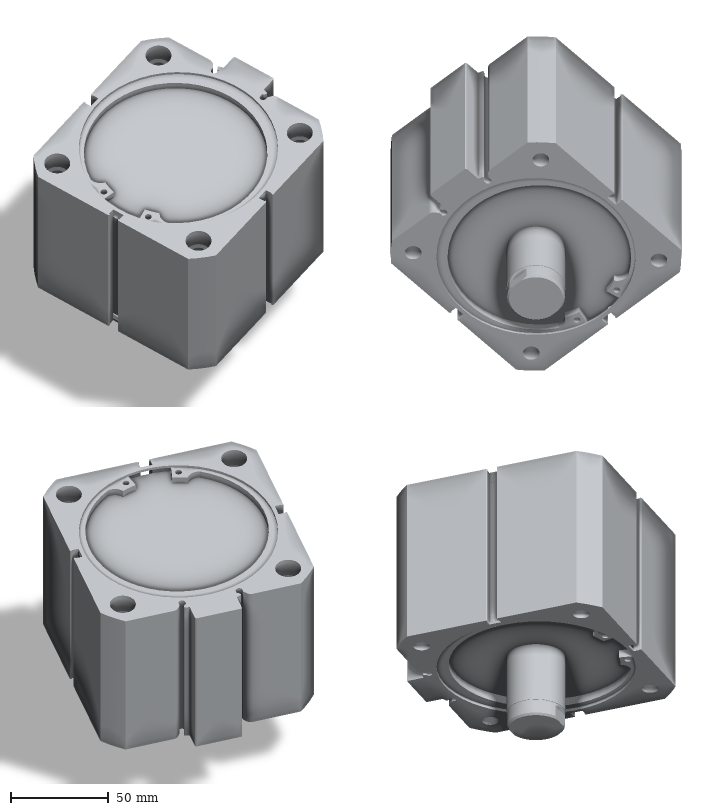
import cadquery as cq
import math

body_width = 115.0
half_width = body_width / 2
body_height = 87.8
port_rail_top = 124.0 - half_width
total_height = 122.5
corner_turning_radius = 74.4

bore_radius = 51.0
groove_radius = 53.1
groove_width = 4.2
groove_inset = 1.5
ring_bottom_levels = (groove_inset, body_height - groove_inset - groove_width)

bolt_pitch = 89.0
bolt_hole_diameter = 8.5
bolt_counterbore_diameter = 13.3
bolt_counterbore_depth = 10.5

slot_mouth_width = 5.5
slot_mouth_chamfer = 0.4
slot_width = 6.5
slot_depth = 4.6
slot_lip = 1.0

rail_half_width = 12.6
rail_edge_chamfer = 0.5
keyhole_x = 15.4
keyhole_y = 52.8
keyhole_radius = 1.7
keyhole_wall_top = 54.3
nose_tip = (-15.4, 56.0)
nose_top = (-14.9, 56.7)
nose_bottom = (-15.1, 55.5)
nose_root = (-14.6, 54.7)
nose_top_at_rail = 57.3
shoulder_start = (-18.4, 55.9)
shoulder_middle = (-19.6, 57.0)
shoulder_end_x = -21.6

ring_rotation = -0.8
ring_inner_radius = 47.0
ring_inner_offset = 2.5
lug_end_angle = 13.0
lug_crest_angle = 23.6
lug_inner_radius = 43.4
notch_angle = 27.1
notch_radius = 48.0
notch_end_angle = 31.6
plier_hole_angle = 17.3
plier_hole_radius = 47.4
plier_hole_diameter = 3.5

cover_thickness = 14.9
piston_thickness = 14.9
rod_radius = 15.0
rod_end = body_height - total_height
rod_end_radius = 14.8
rod_end_length = 8.5
rod_end_chamfer = 1.0
flat_distance = 13.5
flat_length = 7.1


def sensor_slot(angle):
    """Slot along the whole housing; at angle 0 it opens towards -Y."""
    face_y = -half_width
    lip_y = face_y + slot_lip
    floor_y = face_y + slot_depth
    return (
        cq.Workplane("XY")
        .moveTo(0, face_y)
        .lineTo(slot_mouth_width / 2 + slot_mouth_chamfer, face_y)
        .lineTo(slot_mouth_width / 2, face_y + slot_mouth_chamfer)
        .lineTo(slot_mouth_width / 2, lip_y)
        .lineTo(slot_width / 2, lip_y)
        .lineTo(slot_width / 2, floor_y)
        .lineTo(0, floor_y)
        .mirrorY()
        .extrude(body_height)
        .rotate((0, 0, 0), (0, 0, 1), angle)
    )


def keyhole_groove():
    """Rounded groove in the +Y face on the -X side of the port rail, below a small nose."""
    rail_wall = keyhole_radius - keyhole_x
    outer_wall = -keyhole_radius - keyhole_x
    return (
        cq.Workplane("XY")
        .moveTo(-rail_half_width, port_rail_top)
        .lineTo(-rail_half_width, nose_top_at_rail)
        .lineTo(*nose_top)
        .threePointArc(nose_tip, nose_bottom)
        .lineTo(*nose_root)
        .lineTo(rail_wall, keyhole_wall_top)
        .lineTo(rail_wall, keyhole_y)
        .threePointArc((-keyhole_x, keyhole_y - keyhole_radius), (outer_wall, keyhole_y))
        .lineTo(outer_wall, keyhole_wall_top)
        .lineTo(*shoulder_start)
        .threePointArc(shoulder_middle, (shoulder_end_x, half_width))
        .lineTo(shoulder_end_x, port_rail_top)
        .close()
        .extrude(body_height)
    )


def make_housing():
    body = (
        cq.Workplane("XY")
        .rect(body_width, body_width)
        .extrude(body_height)
        .intersect(cq.Workplane("XY").circle(corner_turning_radius).extrude(body_height))
    )
    rail_height = port_rail_top - half_width
    rail = (
        cq.Workplane("XY")
        .box(2 * rail_half_width, rail_height + slot_depth, body_height, centered=(True, False, False))
        .translate((0, half_width - slot_depth, 0))
        .edges("|Z and >Y")
        .chamfer(rail_edge_chamfer)
    )
    body = body.union(rail)
    groove = keyhole_groove()
    body = body.cut(groove).cut(groove.mirror("YZ"))
    for angle in (0, 90, -90):
        body = body.cut(sensor_slot(angle))

    body = body.cut(cq.Workplane("XY").circle(bore_radius).extrude(body_height))
    for level in ring_bottom_levels:
        body = body.cut(cq.Workplane("XY").workplane(offset=level).circle(groove_radius).extrude(groove_width))

    return (
        body.faces(">Z")
        .workplane(origin=(0, 0, body_height))
        .rect(bolt_pitch, bolt_pitch, forConstruction=True)
        .vertices()
        .cboreHole(bolt_hole_diameter, bolt_counterbore_diameter, bolt_counterbore_depth)
    )


def ring_point(radius, angle, side):
    """Point at an angle from the middle of the ring opening; side is -1 for -X and 1 for +X."""
    turn = math.radians(angle)
    return (side * radius * math.sin(turn), -radius * math.cos(turn))


def make_retaining_ring(bottom_level):
    notch_x = ring_inner_radius * math.sin(math.radians(notch_end_angle))
    notch_y = -ring_inner_offset - math.sqrt(ring_inner_radius**2 - notch_x**2)
    lug_middle_angle = (lug_end_angle + lug_crest_angle) / 2
    ring = (
        cq.Workplane("XY")
        .moveTo(*ring_point(groove_radius, lug_end_angle, 1))
        .threePointArc((0, groove_radius), ring_point(groove_radius, lug_end_angle, -1))
        .lineTo(*ring_point(lug_inner_radius, lug_end_angle, -1))
        .threePointArc(
            ring_point(lug_inner_radius, lug_middle_angle, -1),
            ring_point(lug_inner_radius, lug_crest_angle, -1),
        )
        .threePointArc(ring_point(notch_radius, notch_angle, -1), (-notch_x, notch_y))
        .threePointArc((0, ring_inner_radius - ring_inner_offset), (notch_x, notch_y))
        .threePointArc(
            ring_point(notch_radius, notch_angle, 1),
            ring_point(lug_inner_radius, lug_crest_angle, 1),
        )
        .threePointArc(
            ring_point(lug_inner_radius, lug_middle_angle, 1),
            ring_point(lug_inner_radius, lug_end_angle, 1),
        )
        .close()
        .extrude(groove_width)
    )
    plier_holes = (
        cq.Workplane("XY")
        .pushPoints([ring_point(plier_hole_radius, plier_hole_angle, side) for side in (-1, 1)])
        .circle(plier_hole_diameter / 2)
        .extrude(groove_width)
    )
    return ring.cut(plier_holes).rotate((0, 0, 0), (0, 0, 1), ring_rotation).translate((0, 0, bottom_level))


head_cover_top = ring_bottom_levels[1]
head_cover_bottom = head_cover_top - cover_thickness
rod_cover_bottom = ring_bottom_levels[0] + groove_width


def make_head_cover():
    return cq.Workplane("XY").workplane(offset=head_cover_bottom).circle(bore_radius).extrude(cover_thickness)


def make_rod_cover():
    return (
        cq.Workplane("XY")
        .workplane(offset=rod_cover_bottom)
        .circle(bore_radius)
        .circle(rod_radius)
        .extrude(cover_thickness)
    )


def wrench_flat():
    """Material removed on the -Y side of the rod end; the flat runs out at 45 degrees."""
    flat_top = rod_end + flat_length
    run_out = rod_end_radius - flat_distance
    return (
        cq.Workplane("YZ")
        .moveTo(-flat_distance, rod_end)
        .lineTo(-flat_distance, flat_top)
        .lineTo(-rod_end_radius, flat_top + run_out)
        .lineTo(-rod_end_radius, rod_end)
        .close()
        .extrude(rod_end_radius, both=True)
    )


def make_piston_rod():
    piston_bottom = head_cover_bottom - piston_thickness
    flat = wrench_flat()
    tip = (
        cq.Workplane("XY")
        .workplane(offset=rod_end)
        .circle(rod_end_radius)
        .extrude(rod_end_length)
        .faces("<Z")
        .chamfer(rod_end_chamfer)
        .cut(flat)
        .cut(flat.mirror("XZ"))
    )
    shank_bottom = rod_end + rod_end_length
    shank = (
        cq.Workplane("XY")
        .workplane(offset=shank_bottom)
        .circle(rod_radius)
        .extrude(piston_bottom - shank_bottom)
    )
    piston = cq.Workplane("XY").workplane(offset=piston_bottom).circle(bore_radius).extrude(piston_thickness)
    return tip.union(shank).union(piston)


housing = make_housing()
head_cover = make_head_cover()
rod_cover = make_rod_cover()
piston_rod = make_piston_rod()
retaining_rings = [make_retaining_ring(level) for level in ring_bottom_levels]

result = cq.Compound.makeCompound(
    [
        housing.val(),
        head_cover.val(),
        rod_cover.val(),
        piston_rod.val(),
        *[ring.val() for ring in retaining_rings],
    ]
)